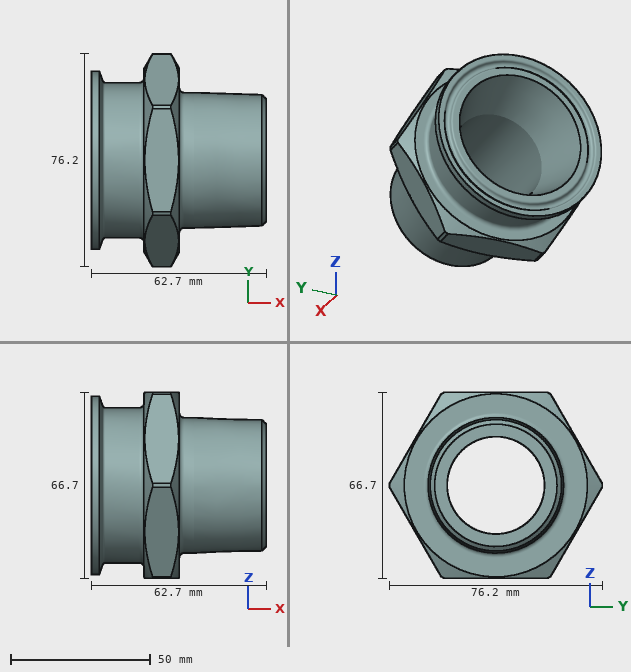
import cadquery as cq
import math

OVERALL_LENGTH = 62.71

FLANGE_RADIUS = 63.91 / 2
FLANGE_RIM_WIDTH = 2.87
CLAMP_ANGLE = math.radians(20)
NECK_RADIUS = 55.68 / 2
NECK_FLANGE_FILLET = 0.8

GROOVE_RADIUS = 56.34 / 2
GROOVE_DEPTH = 1.6
GROOVE_LIP_ROUND = 0.8
GROOVE_BOTTOM_ROUND = 1.2
GROOVE_WALL_ANGLE = math.radians(20)

HEX_START = 18.88
HEX_WIDTH = 12.7
HEX_END = HEX_START + HEX_WIDTH
HEX_ACROSS_FLATS = 66.67
HEX_CORNER_RADIUS = 76.2 / 2
HEX_FACE_RADIUS = 32.8
HEX_CHAMFER_ANGLE = math.radians(30)
HEX_FILLET = 1.6

PIPE_RADIUS = 48.55 / 2
TAPER_START = 36.8
TAPER_PER_LENGTH = 1 / 16
PIPE_CHAMFER = 1.6

BORE_MOUTH_RADIUS = 47.5 / 2
BORE_RADIUS = 34.8 / 2
BORE_CONE_LENGTH = 19.8


def arc_point(center_x, center_r, radius, angle):
    """Point (x, radius) on an arc, with the angle measured from +X towards growing radius."""
    return (center_x + radius * math.cos(angle), center_r + radius * math.sin(angle))


def revolve(profile):
    """Turn a closed (x, radius) profile a full revolution about the X axis."""
    return profile.close().revolve(360, (0, 0, 0), (1, 0, 0))


def make_ferrule():
    """Flange and neck, running into the hexagon with a fillet."""
    fillet_center_r = NECK_RADIUS + NECK_FLANGE_FILLET
    cone_end_angle = math.pi + CLAMP_ANGLE
    cone_end_r = fillet_center_r - NECK_FLANGE_FILLET * math.sin(CLAMP_ANGLE)
    cone_end_x = FLANGE_RIM_WIDTH + (FLANGE_RADIUS - cone_end_r) * math.tan(CLAMP_ANGLE)
    fillet_center_x = cone_end_x + NECK_FLANGE_FILLET * math.cos(CLAMP_ANGLE)
    fillet_mid_angle = (cone_end_angle + 1.5 * math.pi) / 2
    hex_fillet_x = HEX_START - HEX_FILLET
    hex_fillet_r = NECK_RADIUS + HEX_FILLET
    profile = (
        cq.Workplane("XY")
        .moveTo(0, 0)
        .lineTo(0, FLANGE_RADIUS)
        .lineTo(FLANGE_RIM_WIDTH, FLANGE_RADIUS)
        .lineTo(cone_end_x, cone_end_r)
        .threePointArc(
            arc_point(fillet_center_x, fillet_center_r, NECK_FLANGE_FILLET, fillet_mid_angle),
            (fillet_center_x, NECK_RADIUS),
        )
        .lineTo(hex_fillet_x, NECK_RADIUS)
        .threePointArc(
            arc_point(hex_fillet_x, hex_fillet_r, HEX_FILLET, -math.pi / 4),
            (HEX_START, hex_fillet_r),
        )
        .lineTo(HEX_END, hex_fillet_r)
        .lineTo(HEX_END, 0)
    )
    return revolve(profile)


def make_hexagon():
    """Hexagonal prism with corners trimmed round and both faces chamfered."""
    prism = (
        cq.Workplane("YZ", origin=(HEX_START, 0, 0))
        .polygon(6, HEX_ACROSS_FLATS, circumscribed=True)
        .extrude(HEX_WIDTH)
        .rotate((0, 0, 0), (1, 0, 0), 90)
    )
    chamfer_length = (HEX_CORNER_RADIUS - HEX_FACE_RADIUS) * math.tan(HEX_CHAMFER_ANGLE)
    envelope = (
        cq.Workplane("XY")
        .moveTo(HEX_START, 0)
        .lineTo(HEX_START, HEX_FACE_RADIUS)
        .lineTo(HEX_START + chamfer_length, HEX_CORNER_RADIUS)
        .lineTo(HEX_END - chamfer_length, HEX_CORNER_RADIUS)
        .lineTo(HEX_END, HEX_FACE_RADIUS)
        .lineTo(HEX_END, 0)
    )
    return prism.intersect(revolve(envelope))


def make_pipe_end():
    """Tapered pipe end with a fillet at the hexagon and a chamfered tip."""
    fillet_x = HEX_END + HEX_FILLET
    fillet_r = PIPE_RADIUS + HEX_FILLET
    chamfer_x = OVERALL_LENGTH - PIPE_CHAMFER
    taper_end_r = PIPE_RADIUS - (chamfer_x - TAPER_START) * TAPER_PER_LENGTH / 2
    profile = (
        cq.Workplane("XY")
        .moveTo(HEX_START, 0)
        .lineTo(HEX_START, fillet_r)
        .lineTo(HEX_END, fillet_r)
        .threePointArc(
            arc_point(fillet_x, fillet_r, HEX_FILLET, 1.25 * math.pi),
            (fillet_x, PIPE_RADIUS),
        )
        .lineTo(TAPER_START, PIPE_RADIUS)
        .lineTo(chamfer_x, taper_end_r)
        .lineTo(OVERALL_LENGTH, taper_end_r - PIPE_CHAMFER)
        .lineTo(OVERALL_LENGTH, 0)
    )
    return revolve(profile)


def make_bore():
    """Cutter for the conical mouth and the straight bore."""
    profile = (
        cq.Workplane("XY")
        .moveTo(0, 0)
        .lineTo(0, BORE_MOUTH_RADIUS)
        .lineTo(BORE_CONE_LENGTH, BORE_RADIUS)
        .lineTo(OVERALL_LENGTH, BORE_RADIUS)
        .lineTo(OVERALL_LENGTH, 0)
    )
    return revolve(profile)


def make_gasket_groove():
    """Cutter for the rounded gasket groove, symmetric about its pitch radius."""
    wall_cos = math.cos(GROOVE_WALL_ANGLE)
    wall_sin = math.sin(GROOVE_WALL_ANGLE)
    bottom_center_x = GROOVE_DEPTH - GROOVE_BOTTOM_ROUND
    bottom_offset = GROOVE_BOTTOM_ROUND * wall_cos
    bottom_x = bottom_center_x + GROOVE_BOTTOM_ROUND * wall_sin
    lip_x = GROOVE_LIP_ROUND * (1 - wall_sin)
    lip_offset = bottom_offset + (bottom_x - lip_x) * math.tan(GROOVE_WALL_ANGLE)
    mouth_offset = lip_offset + GROOVE_LIP_ROUND * wall_cos
    lip_half_sweep = (math.pi / 2 - GROOVE_WALL_ANGLE) / 2
    lip_mid_x, lip_mid_rise = arc_point(
        GROOVE_LIP_ROUND, 0, GROOVE_LIP_ROUND, math.pi - lip_half_sweep
    )
    lip_mid_offset = mouth_offset - lip_mid_rise
    profile = (
        cq.Workplane("XY")
        .moveTo(0, GROOVE_RADIUS + mouth_offset)
        .threePointArc(
            (lip_mid_x, GROOVE_RADIUS + lip_mid_offset),
            (lip_x, GROOVE_RADIUS + lip_offset),
        )
        .lineTo(bottom_x, GROOVE_RADIUS + bottom_offset)
        .threePointArc(
            (GROOVE_DEPTH, GROOVE_RADIUS),
            (bottom_x, GROOVE_RADIUS - bottom_offset),
        )
        .lineTo(lip_x, GROOVE_RADIUS - lip_offset)
        .threePointArc(
            (lip_mid_x, GROOVE_RADIUS - lip_mid_offset),
            (0, GROOVE_RADIUS - mouth_offset),
        )
    )
    return revolve(profile)


body = make_ferrule().union(make_hexagon()).union(make_pipe_end())
result = body.cut(make_bore()).cut(make_gasket_groove())